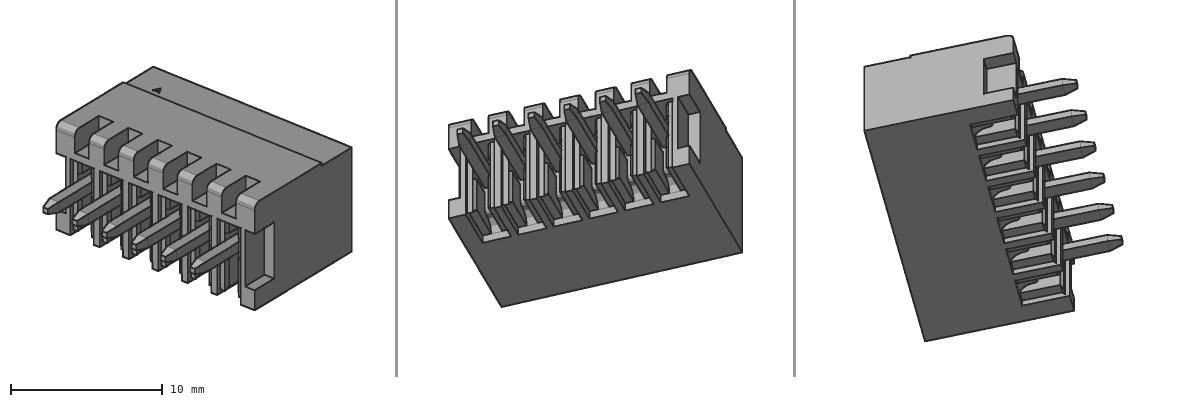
import cadquery as cq

pin_count = 6
pitch = 2.5

housing_width = 16.9
housing_depth = 10.1
housing_height = 8.1
rear_step_depth = 3.13
rear_step_drop = 0.2
front_edge_radius = 0.5

top_slot_width = 1.2
top_slot_depth = 2.5
top_slot_height = 1.7

side_recess_width = 0.81
side_recess_depth = 2.01
side_recess_bottom = 1.52

pocket_width = 2.0
pocket_top = 5.8
pocket_depth = 0.3
groove_width = 0.8
groove_mouth_width = top_slot_width
groove_taper_depth = 0.2
groove_depth = side_recess_depth
pin_clearance_height = 1.57

relief_front_height = 0.3
relief_height = 0.6
relief_round_radius = 0.32
relief_cove_radius = 0.9

pin_size = 0.8
pin_tip_size = 0.4
pin_tip_length = 0.91
pin_reach = 3.79
pin_height = 3.9
pin_embed = 0.85

mark_width = 0.5
mark_length = 0.5
mark_gap = 0.71
mark_depth = 0.1

pin_positions = [(i - (pin_count - 1) / 2) * pitch for i in range(pin_count)]
rear_top = housing_height - rear_step_drop
step_y = housing_depth - rear_step_depth
groove_taper_end = pocket_depth + groove_taper_depth
relief_depth = groove_depth + relief_round_radius + relief_cove_radius


def block(x_size, y_range, z_range, x_center=0.0):
    """Box centred in X on x_center, spanning the given Y and Z ranges."""
    y_size = y_range[1] - y_range[0]
    z_size = z_range[1] - z_range[0]
    corner = (x_center - x_size / 2, y_range[0], z_range[0])
    return cq.Workplane("XY").box(x_size, y_size, z_size, centered=False).translate(corner)


def extrude_profile(profile, width):
    """Extrude a YZ profile symmetrically about x = 0."""
    return profile.close().extrude(width / 2, both=True)


def make_housing():
    """Block with a lowered rear top and a rounded front top edge."""
    profile = (
        cq.Workplane("YZ")
        .lineTo(housing_depth, 0)
        .lineTo(housing_depth, rear_top)
        .lineTo(step_y, rear_top)
        .lineTo(step_y, housing_height)
        .lineTo(front_edge_radius, housing_height)
        .radiusArc((0, housing_height - front_edge_radius), -front_edge_radius)
    )
    return extrude_profile(profile, housing_width)


def make_groove():
    """Narrow slot with tapered mouth, widened to its full mouth around the pin."""
    groove = (
        cq.Workplane("XY")
        .moveTo(-groove_mouth_width / 2, pocket_depth)
        .lineTo(groove_mouth_width / 2, pocket_depth)
        .lineTo(groove_width / 2, groove_taper_end)
        .lineTo(groove_width / 2, groove_depth)
        .lineTo(-groove_width / 2, groove_depth)
        .lineTo(-groove_width / 2, groove_taper_end)
        .close()
        .extrude(pocket_top)
    )
    clearance_z = (pin_height - pin_clearance_height / 2, pin_height + pin_clearance_height / 2)
    return groove.union(block(groove_mouth_width, (pocket_depth, groove_depth), clearance_z))


def make_relief():
    """Full-width undercut with a sloped front roof, and the curved groove end that runs into it."""
    undercut = (
        cq.Workplane("YZ")
        .lineTo(relief_depth, 0)
        .lineTo(relief_depth, relief_height)
        .lineTo(groove_taper_end, relief_height)
        .lineTo(pocket_depth, relief_front_height)
        .lineTo(0, relief_front_height)
    )
    cove_top = relief_height + relief_cove_radius
    round_end_y = groove_depth + relief_round_radius
    curved_end = (
        cq.Workplane("YZ")
        .moveTo(groove_taper_end, relief_height)
        .lineTo(relief_depth, relief_height)
        .radiusArc((round_end_y, cove_top), -relief_cove_radius)
        .radiusArc((groove_depth, cove_top + relief_round_radius), relief_round_radius)
        .lineTo(groove_taper_end, cove_top + relief_round_radius)
    )
    return extrude_profile(undercut, pocket_width).union(extrude_profile(curved_end, groove_width))


def make_pocket():
    """Everything cut away around one pin at x = 0, including the slot above it."""
    top_slot_z = (housing_height - top_slot_height, housing_height)
    return (
        block(pocket_width, (0, pocket_depth), (0, pocket_top))
        .union(make_groove())
        .union(make_relief())
        .union(block(top_slot_width, (0, top_slot_depth), top_slot_z))
    )


def make_pin():
    """Square pin along Y with a pyramidal tip at its free end."""
    tip_start = -(pin_reach - pin_tip_length)
    pin_z = (pin_height - pin_size / 2, pin_height + pin_size / 2)
    shank = block(pin_size, (tip_start, groove_depth + pin_embed), pin_z)
    tip = (
        cq.Workplane("XZ", origin=(0, tip_start, pin_height))
        .rect(pin_size, pin_size)
        .workplane(offset=pin_tip_length)
        .rect(pin_tip_size, pin_tip_size)
        .loft(ruled=True)
    )
    return shank.union(tip)


def make_mark():
    """Shallow triangle beside the step, pointing away from pin 1."""
    base_y = step_y + mark_gap
    return (
        cq.Workplane("XY", origin=(pin_positions[0], base_y, rear_top - mark_depth))
        .moveTo(-mark_width / 2, 0)
        .lineTo(mark_width / 2, 0)
        .lineTo(0, mark_length)
        .close()
        .extrude(mark_depth)
    )


result = make_housing().cut(make_mark())

for side in (-1, 1):
    recess_x = side * (housing_width - side_recess_width) / 2
    recess_z = (side_recess_bottom, pocket_top)
    result = result.cut(block(side_recess_width, (0, side_recess_depth), recess_z, recess_x))

pocket = make_pocket()
pin = make_pin()
for x in pin_positions:
    result = result.cut(pocket.translate((x, 0, 0)))
    result = result.union(pin.translate((x, 0, 0)))